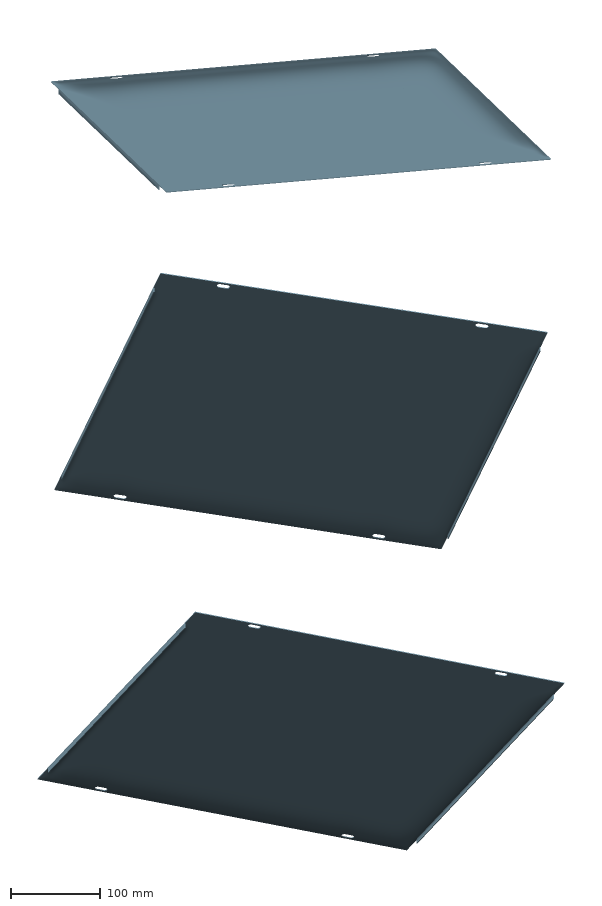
import cadquery as cq

width = 450.0
depth = 449.0
height = 6.5
sheet = 1.0

flange_length = 390.0

slot_width = 7.0
slot_length = 15.0
slot_edge_distance = 6.5
slot_pitch = 300.0


def make_panel():
    """Flat sheet with its top face at the full height."""
    panel = cq.Workplane("XY").box(width, depth, sheet, centered=(True, True, False))
    return panel.translate((0, 0, height - sheet))


def make_flange(side):
    """Strip standing below the panel edge; side is -1 for front and +1 for back."""
    strip_y = side * (depth - sheet) / 2
    strip = cq.Workplane("XY").box(flange_length, sheet, height, centered=(True, True, False))
    return strip.translate((0, strip_y, 0))


def make_slots():
    """Cutters for the four slots, lengthwise along Y."""
    return (
        cq.Workplane("XY")
        .rarray(width - 2 * slot_edge_distance, slot_pitch, 2, 2)
        .slot2D(slot_length, slot_width, 90)
        .extrude(height)
    )


result = make_panel()
for edge_side in (-1, 1):
    result = result.union(make_flange(edge_side))
result = result.cut(make_slots())